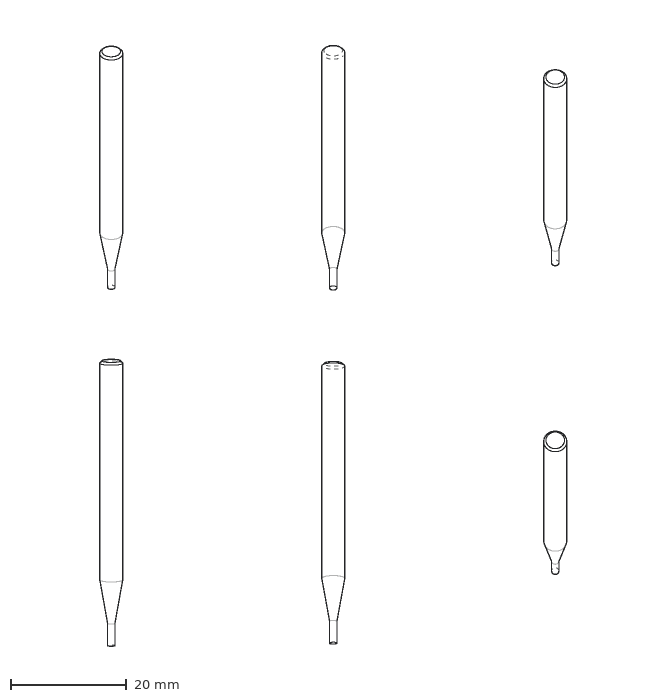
import cadquery as cq
import math

SHANK_RADIUS = 2.0
TOTAL_LENGTH = 50.0

CHAMFER_WIDTH = 0.4
CHAMFER_HEIGHT = 0.4

TIP_RADIUS = 0.65
TIP_LENGTH = 3.9

NECK_HALF_ANGLE = 10.0
NECK_LENGTH = (SHANK_RADIUS - TIP_RADIUS) / math.tan(math.radians(NECK_HALF_ANGLE))

BOTTOM_Z = -TOTAL_LENGTH / 2
TOP_Z = BOTTOM_Z + TOTAL_LENGTH
NECK_BOTTOM_Z = BOTTOM_Z + TIP_LENGTH
NECK_TOP_Z = NECK_BOTTOM_Z + NECK_LENGTH


def half_profile():
    """Half section of the part on the -X side of its axis, from bottom to top."""
    return (
        cq.Workplane("XZ")
        .moveTo(0, BOTTOM_Z)
        .lineTo(-TIP_RADIUS, BOTTOM_Z)
        .lineTo(-TIP_RADIUS, NECK_BOTTOM_Z)
        .lineTo(-SHANK_RADIUS, NECK_TOP_Z)
        .lineTo(-SHANK_RADIUS, TOP_Z - CHAMFER_HEIGHT)
        .lineTo(-SHANK_RADIUS + CHAMFER_WIDTH, TOP_Z)
        .lineTo(0, TOP_Z)
        .close()
    )


result = half_profile().revolve(360, (0, 0), (0, 1))